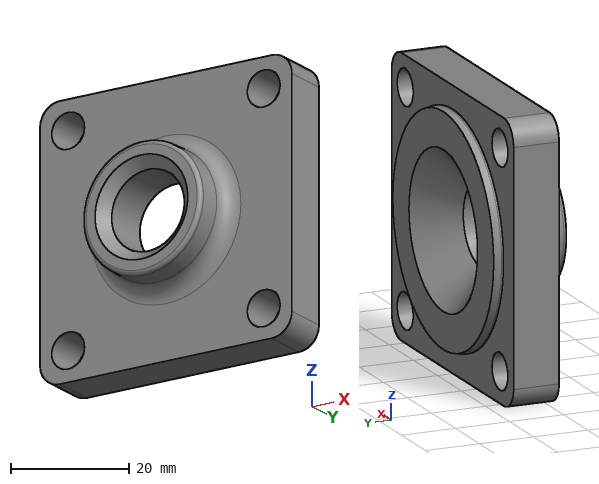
import cadquery as cq
import math

plate_side = 50.8
plate_thickness = 8.45
corner_radius = 4.05
bolt_spacing = 39.4
bolt_hole_diameter = 6.6

disc_thickness = 1.75
disc_rim = 0.4
disc_radius = 21.25
disc_rear_radius = 21.0

neck_length = 7.6
neck_radius = 12.1
neck_front_radius = 11.95
neck_tip_radius = 11.2
neck_round_length = 0.8
flare_radius = 15.3
flare_length = 2.95

bore_radius = 7.3
chamfer_size = 2.05
cone_length = 6.95
cone_rear_radius = bore_radius + cone_length

neck_front = -neck_length
plate_rear = plate_thickness
disc_rear = plate_rear + disc_thickness


def revolve_y(profile):
    """Revolve a closed (radius, Y) profile about the Y axis."""
    return profile.close().revolve(360, (0, 0, 0), (0, 1, 0))


def make_plate():
    plate = cq.Workplane("XZ").rect(plate_side, plate_side).extrude(-plate_thickness)
    plate = plate.edges("|Y").fillet(corner_radius)
    holes = (
        cq.Workplane("XZ")
        .rect(bolt_spacing, bolt_spacing, forConstruction=True)
        .vertices()
        .circle(bolt_hole_diameter / 2)
        .extrude(-plate_thickness)
    )
    return plate.cut(holes)


def make_disc():
    return revolve_y(
        cq.Workplane("XY")
        .moveTo(0, plate_rear)
        .lineTo(disc_radius, plate_rear)
        .lineTo(disc_radius, plate_rear + disc_rim)
        .lineTo(disc_rear_radius, disc_rear)
        .lineTo(0, disc_rear)
    )


def make_neck():
    diagonal = math.sqrt(0.5)
    flare_width = flare_radius - neck_radius
    flare_middle = (flare_radius - flare_width * diagonal, -flare_length * (1 - diagonal))
    round_start = neck_front + neck_round_length
    round_middle = (
        neck_tip_radius + (neck_front_radius - neck_tip_radius) * diagonal,
        round_start - neck_round_length * diagonal,
    )
    return revolve_y(
        cq.Workplane("XY")
        .lineTo(flare_radius, 0)
        .threePointArc(flare_middle, (neck_radius, -flare_length))
        .lineTo(neck_front_radius, round_start)
        .threePointArc(round_middle, (neck_tip_radius, neck_front))
        .lineTo(0, neck_front)
    )


def make_bore():
    return revolve_y(
        cq.Workplane("XY")
        .moveTo(0, neck_front)
        .lineTo(bore_radius + chamfer_size, neck_front)
        .lineTo(bore_radius, neck_front + chamfer_size)
        .lineTo(bore_radius, disc_rear - cone_length)
        .lineTo(cone_rear_radius, disc_rear)
        .lineTo(0, disc_rear)
    )


result = make_plate().union(make_disc()).union(make_neck()).cut(make_bore())